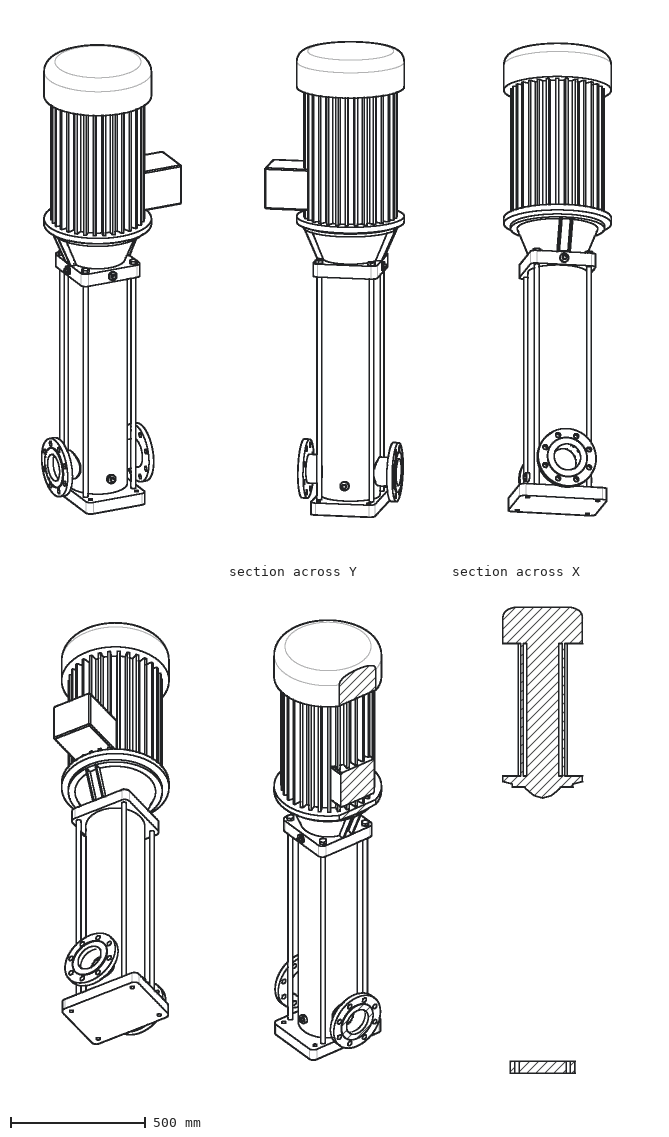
import cadquery as cq

TOTAL_HEIGHT = 1734

FOOT_X = 331
FOOT_Y = 242
FOOT_HEIGHT = 46
CORNER_RADIUS = 20
FOOT_HOLE_DIAMETER = 14
FOOT_HOLE_SPACING_X = 266
FOOT_HOLE_SPACING_Y = 190

BARREL_DIAMETER = 220
HEAD_X = 247
HEAD_Y = 242
HEAD_BOTTOM = 896
HEAD_TOP = 945
ROD_DIAMETER = 18
ROD_OFFSET = 99
NUT_DIAMETER = 28
NUT_HEIGHT = 10

PORT_HEIGHT = 140
PORT_FACE_DISTANCE = 365
PORT_PIPE_DIAMETER = 108
PORT_BORE = 100
PORT_FLANGE_DIAMETER = 220
PORT_FLANGE_THICKNESS = 20
RAISED_FACE_DIAMETER = 150
RAISED_FACE_HEIGHT = 4
BOLT_CIRCLE_DIAMETER = 180
BOLT_HOLE_DIAMETER = 18
BOLT_COUNT = 8

PLUG_COLLAR_DIAMETER = 32
PLUG_COLLAR_HEIGHT = 6
PLUG_HEAD_DIAMETER = 16
PLUG_HEIGHT = 15
DRAIN_HEIGHT = 104
DRAIN_SEAT_HEIGHT = 4

BRACKET_TOP = 1075
BRACKET_RIM_THICKNESS = 11
BRACKET_RIM_DIAMETER = 350
CONE_TOP_RADIUS = 150
CONE_BOTTOM_RADIUS = 102
RIB_PAIR_WIDTH = 46
RIB_THICKNESS = 5
RIB_TOP_REACH = 174
RIB_BOTTOM_REACH = 122
RIB_FOOT_RISE = 9

MOTOR_DIAMETER = 400
MOTOR_FLANGE_BOTTOM = 1084
MOTOR_FLANGE_TOP = 1106
CORE_DIAMETER = 292
FIN_TIP_DIAMETER = 348
FIN_COUNT = 30
FIN_THICKNESS = 10
COVER_BOTTOM = 1597
COVER_ROUNDING = 40

BOX_WIDTH = 160
BOX_BOTTOM = 1137
BOX_TOP = 1293
BOX_FACE = 310
BOX_EDGE_CHAMFER = 5


def cylinder(diameter, bottom, top):
    """Solid cylinder on the pump axis."""
    return cq.Workplane("XY").workplane(offset=bottom).circle(diameter / 2).extrude(top - bottom)


def corner_points(offset_x, offset_y):
    return [(sx * offset_x, sy * offset_y) for sx in (-1, 1) for sy in (-1, 1)]


def rounded_plate(size_x, size_y, bottom, top):
    plate = cq.Workplane("XY").workplane(offset=bottom).rect(size_x, size_y).extrude(top - bottom)
    return plate.edges("|Z").fillet(CORNER_RADIUS)


def make_foot():
    foot = rounded_plate(FOOT_X, FOOT_Y, 0, FOOT_HEIGHT)
    holes = corner_points(FOOT_HOLE_SPACING_X / 2, FOOT_HOLE_SPACING_Y / 2)
    return foot.faces(">Z").workplane().pushPoints(holes).hole(FOOT_HOLE_DIAMETER)


def make_tie_rods():
    places = corner_points(ROD_OFFSET, ROD_OFFSET)
    nut_top = HEAD_TOP + NUT_HEIGHT
    foot_top = cq.Workplane("XY").workplane(offset=FOOT_HEIGHT).pushPoints(places)
    rods = foot_top.circle(ROD_DIAMETER / 2).extrude(nut_top - FOOT_HEIGHT)
    head_top = cq.Workplane("XY").workplane(offset=HEAD_TOP).pushPoints(places)
    nuts = head_top.polygon(6, NUT_DIAMETER).extrude(NUT_HEIGHT)
    return rods.union(nuts)


def make_port():
    """Flanged connection pointing to -Y, bored through from its face to the pump axis."""
    face = PORT_FACE_DISTANCE / 2
    flange_face = face - RAISED_FACE_HEIGHT
    start = cq.Workplane("XZ").center(0, PORT_HEIGHT)
    pipe = start.circle(PORT_PIPE_DIAMETER / 2).extrude(face)
    raised_face = start.circle(RAISED_FACE_DIAMETER / 2).extrude(PORT_FLANGE_THICKNESS)
    raised_face = raised_face.translate((0, PORT_FLANGE_THICKNESS - face, 0))
    flange = (
        start.circle(PORT_FLANGE_DIAMETER / 2)
        .polarArray(BOLT_CIRCLE_DIAMETER / 2, 180 / BOLT_COUNT, 360, BOLT_COUNT)
        .circle(BOLT_HOLE_DIAMETER / 2)
        .extrude(PORT_FLANGE_THICKNESS)
        .translate((0, PORT_FLANGE_THICKNESS - flange_face, 0))
    )
    bore = start.circle(PORT_BORE / 2).extrude(face)
    return pipe.union(flange).union(raised_face).cut(bore)


def make_plug(direction, reach, height):
    """Hexagon screw plug on a round collar, seated at `reach` from the axis."""
    seat = cq.Plane(
        origin=(direction[0] * reach, direction[1] * reach, height),
        xDir=(-direction[1], direction[0], 0),
        normal=(direction[0], direction[1], 0),
    )
    sunk = PLUG_COLLAR_DIAMETER / 2
    collar = cq.Workplane(seat).circle(PLUG_COLLAR_DIAMETER / 2).extrude(PLUG_COLLAR_HEIGHT)
    root = cq.Workplane(seat).circle(PLUG_COLLAR_DIAMETER / 2).extrude(-sunk)
    head = cq.Workplane(seat).polygon(6, PLUG_HEAD_DIAMETER).extrude(PLUG_HEIGHT)
    return collar.union(root).union(head)


def make_bracket():
    rim_bottom = BRACKET_TOP - BRACKET_RIM_THICKNESS
    outline = [
        (0, HEAD_TOP),
        (CONE_BOTTOM_RADIUS, HEAD_TOP),
        (CONE_TOP_RADIUS, rim_bottom),
        (BRACKET_RIM_DIAMETER / 2, rim_bottom),
        (BRACKET_RIM_DIAMETER / 2, BRACKET_TOP),
        (MOTOR_DIAMETER / 2, MOTOR_FLANGE_BOTTOM),
        (0, MOTOR_FLANGE_BOTTOM),
    ]
    return cq.Workplane("XZ").polyline(outline).close().revolve(360, (0, 0), (0, 1))


def make_bracket_ribs():
    """Two pairs of upright plates on the +Y and -Y sides, with a sloping floor between each pair."""
    rim_bottom = BRACKET_TOP - BRACKET_RIM_THICKNESS
    rib_outline = [
        (-RIB_BOTTOM_REACH, HEAD_TOP),
        (RIB_BOTTOM_REACH, HEAD_TOP),
        (RIB_TOP_REACH, rim_bottom),
        (-RIB_TOP_REACH, rim_bottom),
    ]
    floor_outline = [
        (-RIB_BOTTOM_REACH, HEAD_TOP),
        (RIB_BOTTOM_REACH, HEAD_TOP),
        (CONE_BOTTOM_RADIUS, HEAD_TOP + RIB_FOOT_RISE),
        (-CONE_BOTTOM_RADIUS, HEAD_TOP + RIB_FOOT_RISE),
    ]
    plate = cq.Workplane("YZ").polyline(rib_outline).close().extrude(RIB_THICKNESS)
    floor = cq.Workplane("YZ").polyline(floor_outline).close()
    ribs = floor.extrude(RIB_PAIR_WIDTH / 2 - RIB_THICKNESS, both=True)
    for left_side in (-RIB_PAIR_WIDTH / 2, RIB_PAIR_WIDTH / 2 - RIB_THICKNESS):
        ribs = ribs.union(plate.translate((left_side, 0, 0)))
    return ribs


def make_motor():
    core = cylinder(CORE_DIAMETER, MOTOR_FLANGE_TOP, COVER_BOTTOM)
    fin_height = COVER_BOTTOM - MOTOR_FLANGE_TOP
    fin_blank = cq.Workplane("XY").workplane(offset=MOTOR_FLANGE_TOP)
    fin_pair = fin_blank.rect(FIN_THICKNESS, FIN_TIP_DIAMETER).extrude(fin_height)
    fins = fin_pair
    for index in range(1, FIN_COUNT // 2):
        fins = fins.union(fin_pair.rotate((0, 0, 0), (0, 0, 1), index * 360 / FIN_COUNT))
    fins = fins.intersect(cylinder(FIN_TIP_DIAMETER, MOTOR_FLANGE_TOP, COVER_BOTTOM))
    flange = cylinder(MOTOR_DIAMETER, MOTOR_FLANGE_BOTTOM, MOTOR_FLANGE_TOP)
    cover = cylinder(MOTOR_DIAMETER, COVER_BOTTOM, TOTAL_HEIGHT)
    cover = cover.faces(">Z").edges().fillet(COVER_ROUNDING)
    return core.union(fins).union(flange).union(cover)


def make_terminal_box():
    box = cq.Workplane("XY").box(
        BOX_WIDTH, BOX_FACE, BOX_TOP - BOX_BOTTOM, centered=(True, False, False)
    )
    box = box.edges("|Y").chamfer(BOX_EDGE_CHAMFER).faces(">Y").edges().chamfer(BOX_EDGE_CHAMFER)
    return box.translate((0, 0, BOX_BOTTOM))


head_middle = (HEAD_BOTTOM + HEAD_TOP) / 2
drain_reach = BARREL_DIAMETER / 2 + DRAIN_SEAT_HEIGHT

result = make_foot()
for turn in (0, 180):
    result = result.union(make_port().rotate((0, 0, 0), (0, 0, 1), turn))
result = result.union(cylinder(BARREL_DIAMETER, FOOT_HEIGHT, HEAD_BOTTOM))
result = result.union(rounded_plate(HEAD_X, HEAD_Y, HEAD_BOTTOM, HEAD_TOP))
result = result.union(make_tie_rods())
result = result.union(make_bracket()).union(make_bracket_ribs())
result = result.union(make_motor()).union(make_terminal_box())
result = result.union(make_plug((0, -1), HEAD_Y / 2, head_middle))
result = result.union(make_plug((1, 0), HEAD_X / 2, head_middle))
for direction in ((-1, 0), (1, 0)):
    result = result.union(make_plug(direction, drain_reach, DRAIN_HEIGHT))